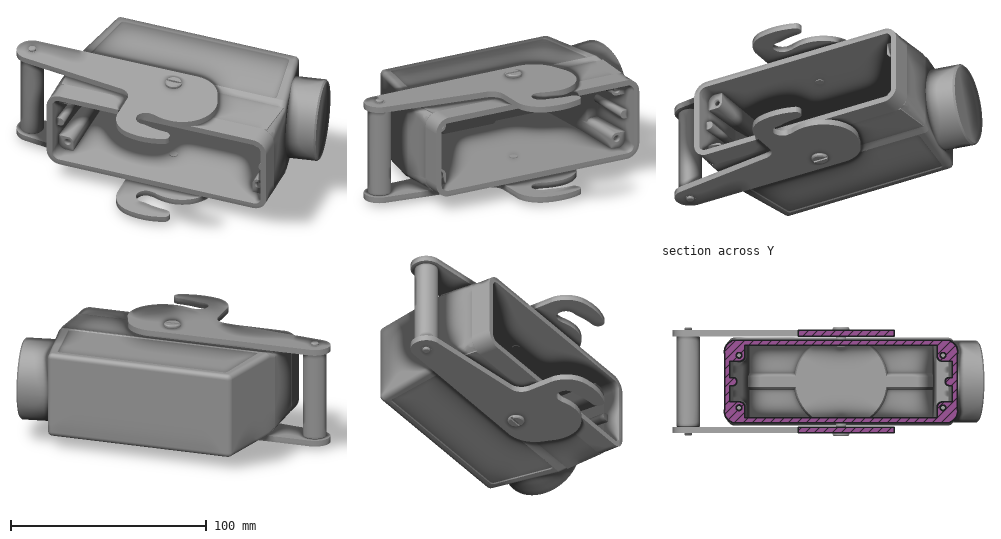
import cadquery as cq
import math


collar_length = 120.0
collar_width = 43.0
collar_depth = 11.0
collar_radius = 7.4

waist_half_length_low = 59.6
waist_half_length_high = 58.3
waist_half_width = 20.8
waist_top = 32.1
waist_corner_x_low = 3.7
waist_corner_z_low = 6.7
waist_corner_x_high = 0.9
waist_corner_z_high = 2.6
slab_half_width = 21.3
slab_half_length_low = 56.0
slab_half_length_high = 57.3

back_half_width = 22.4
back_half_length = 49.5
back_y = 75.7
shoulder_y = 36.5
back_fillet = 2.5

cavity_half_width = 18.5
cavity_floor_half_width = 18.1
cavity_half_length = 56.9
cavity_waist_half_length = 55.0
cavity_waist_y = 33.0
cavity_floor_half_length = 46.8
cavity_floor_y = 73.0
entry_ledge_y = 34.0
entry_ledge_inner_x = 48.9
cavity_radius = 3.7
pad_height = 3.0
pad_disc_radius = 24.3
pad_disc_slope = 1.0
pad_bar_half_width = 4.4
pad_bar_slope = 1.7

boss_face_y = 9.3
boss_inner_x = 48.2
boss_inner_z = 9.5
boss_radius = 3.0
boss_draft = 0.7
screw_x = 52.1
screw_z = 13.4
screw_hole_radius = 1.3
screw_mouth_radius = 1.9
screw_hole_depth = 12.0
guide_radius = 2.2
guide_x = 55.3
guide_start_y = 7.0

panel_depth = 0.5
panel_draft = 40.0
panel_low_y = shoulder_y
panel_high_y = 71.3
panel_low_half_length = 51.7
panel_high_half_length = 45.8
panel_radius = 2.5

entry_radius = 21.0
entry_tilt = 10.0
entry_end_x = 69.81
entry_end_y = 56.02
entry_length = 18.0
entry_chamfer = 0.9

lever_inner_z = 23.15
lever_thickness = 3.1
roller_x = -78.1
roller_y = 26.8
lever_end_radius = 8.0
roller_radius = 6.05
roller_chamfer = 0.4
rivet_side = 4.1
rivet_foot_height = 0.1
rivet_radius = 2.0
rivet_height = 1.3
rivet_chamfer = 0.4

cam_top = (9.4, 35.2)
cam_shoulder = (18.5, 32.0)
cam_flat_start = (24.3, 23.8)
cam_flat_end = (26.6, 18.0)
cam_nose = (23.6, 1.5)
cam_bottom = (9.4, -5.4)
slot_mouth_middle = (4.5, -4.9)
slot_mouth_inner = (0.0, -3.5)
slot_end_top = (-2.8, -3.1)
slot_end_middle = (-7.7, -7.4)
slot_end_bottom = (-4.0, -12.9)
hook_inner_start = (-1.2, -13.2)
hook_inner_middle = (4.5, -14.6)
hook_inner_end = (11.0, -15.2)
hook_tip = (14.1, -18.0)
hook_outer_start = (12.9, -21.1)
hook_bottom = (0.0, -23.48)
hook_outer_middle = (-8.4, -22.1)
hook_heel = (-15.2, -16.9)
hook_heel_top_y = -9.8
shank_x = -17.7
shank_top_y = 4.5
arm_root_middle = (-19.3, 9.0)
arm_root = (-23.5, 11.5)
arm_end_bottom_y = 18.8

pivot_y = 24.8
pivot_shaft_radius = 2.65
pivot_tip_radius = 2.15
pivot_tip_z = 18.0
pivot_head_radius = 4.25
pivot_head_top = 27.9
pivot_head_chamfer = 0.5
pivot_slot_width = 1.5
pivot_slot_depth = 0.8


def section_plane(y):
    """Plane across the hood at depth y: local x is X, local y is -Z, and it extrudes towards +Y."""
    return cq.Workplane(cq.Plane((0, y, 0), (1, 0, 0), (0, 1, 0)))


def rounded_section(workplane, half_x, half_z, corner_x, corner_z):
    """Closed rectangle outline whose corners are arcs reaching corner_x and corner_z along the sides."""
    bulge = 1 - math.sqrt(0.5)
    outline = workplane.moveTo(corner_x - half_x, half_z)
    for side_x, side_z in ((1, 1), (1, -1), (-1, -1), (-1, 1)):
        on_long_side = (side_x * (half_x - corner_x), side_z * half_z)
        on_short_side = (side_x * half_x, side_z * (half_z - corner_z))
        middle = (side_x * (half_x - bulge * corner_x), side_z * (half_z - bulge * corner_z))
        start, end = on_long_side, on_short_side
        if side_x * side_z < 0:
            start, end = on_short_side, on_long_side
        outline = outline.lineTo(*start).threePointArc(middle, end)
    return outline.close()


def symmetric_outline(points):
    """Closed outline in XY from the points of its +X half, mirrored about the Y axis."""
    mirrored = [(-x, y) for x, y in reversed(points)]
    return cq.Workplane("XY").polyline(points + mirrored).close()


def collar():
    block = section_plane(0).rect(collar_length, collar_width).extrude(collar_depth)
    return block.edges("|Y").fillet(collar_radius)


def waist():
    low = rounded_section(
        section_plane(collar_depth),
        waist_half_length_low,
        waist_half_width,
        waist_corner_x_low,
        waist_corner_z_low,
    )
    high = rounded_section(
        low.workplane(offset=waist_top - collar_depth),
        waist_half_length_high,
        waist_half_width,
        waist_corner_x_high,
        waist_corner_z_high,
    )
    return high.loft(ruled=True)


def back():
    plan = symmetric_outline([(waist_half_length_high, waist_top), (back_half_length, back_y)])
    plan = plan.extrude(back_half_width, both=True)
    profile = [
        (waist_top, slab_half_width),
        (shoulder_y, back_half_width),
        (back_y, back_half_width),
        (back_y, -back_half_width),
        (shoulder_y, -back_half_width),
        (waist_top, -slab_half_width),
    ]
    envelope = cq.Workplane("YZ").polyline(profile).close().extrude(collar_length / 2, both=True)
    block = plan.intersect(envelope)
    return block.faces("<X or >X or >Y").edges("not <Y").fillet(back_fillet)


def waist_slab():
    """Flat faces under the levers, standing slightly proud of the rounded waist."""
    plan = symmetric_outline([(slab_half_length_low, collar_depth), (slab_half_length_high, waist_top)])
    return plan.extrude(slab_half_width, both=True)


def cable_entry():
    tilt = math.radians(entry_tilt)
    axis = (math.cos(tilt), math.sin(tilt), 0)
    start = (entry_end_x - entry_length * axis[0], entry_end_y - entry_length * axis[1], 0)
    plane = cq.Plane(start, (axis[1], -axis[0], 0), axis)
    return cq.Workplane(plane).circle(entry_radius).extrude(entry_length).faces(">X").chamfer(entry_chamfer)


def cavity():
    points = [
        (cavity_half_length, 0),
        (cavity_half_length, boss_face_y),
        (cavity_waist_half_length, cavity_waist_y),
        (cavity_floor_half_length, cavity_floor_y),
    ]
    hollow = symmetric_outline(points).extrude(cavity_half_width, both=True)
    side_profile = [
        (0, cavity_half_width),
        (cavity_floor_y, cavity_floor_half_width),
        (cavity_floor_y, -cavity_floor_half_width),
        (0, -cavity_half_width),
    ]
    envelope = cq.Workplane("YZ").polyline(side_profile).close().extrude(collar_length, both=True)
    hollow = hollow.intersect(envelope)
    for side_x in (-1, 1):
        for side_z in (-1, 1):
            corner = (side_x * cavity_half_length, boss_face_y / 2, side_z * cavity_half_width)
            hollow = hollow.edges(cq.selectors.NearestToPointSelector(corner)).fillet(cavity_radius)
    return hollow.cut(entry_backing())


def entry_backing():
    """Thickening of the end wall behind the cable entry, with a flat ledge facing the opening."""
    points = [
        (entry_ledge_inner_x, entry_ledge_y),
        (collar_length / 2, entry_ledge_y),
        (collar_length / 2, cavity_floor_y),
        (cavity_floor_half_length, cavity_floor_y),
    ]
    return cq.Workplane("XY").polyline(points).close().extrude(cavity_half_width, both=True)


def floor_pad():
    """Disc and crossing bar with sloping sides, raised from the cavity floor towards the opening."""
    base = cq.Workplane("XZ", origin=(0, cavity_floor_y, 0))
    disc_draft = math.degrees(math.atan2(pad_disc_slope, pad_height))
    bar_draft = math.degrees(math.atan2(pad_bar_slope, pad_height))
    disc = base.circle(pad_disc_radius).extrude(pad_height, taper=disc_draft)
    bar = base.rect(collar_length, 2 * pad_bar_half_width).extrude(pad_height, taper=bar_draft)
    return disc.union(bar)


def screw_boss(side_x, side_z):
    """Slightly drafted post filling a corner of the cavity from its floor up to the boss face."""
    size_x = collar_length / 2 - boss_inner_x
    size_z = collar_width / 2 - boss_inner_z
    post = (
        cq.Workplane("XZ", origin=(0, cavity_floor_y, 0))
        .center(side_x * (boss_inner_x + size_x / 2), side_z * (boss_inner_z + size_z / 2))
        .rect(size_x, size_z)
        .extrude(cavity_floor_y - boss_face_y, taper=boss_draft)
    )
    inner_corner = (side_x * boss_inner_x, (boss_face_y + cavity_floor_y) / 2, side_z * boss_inner_z)
    return post.edges(cq.selectors.NearestToPointSelector(inner_corner)).fillet(boss_radius)


def screw_hole(side_x, side_z):
    hole = section_plane(boss_face_y).center(side_x * screw_x, -side_z * screw_z)
    bore = hole.circle(screw_hole_radius).extrude(screw_hole_depth)
    mouth = cq.Solid.makeCone(
        screw_mouth_radius,
        screw_hole_radius,
        screw_mouth_radius - screw_hole_radius,
        cq.Vector(side_x * screw_x, boss_face_y, side_z * screw_z),
        cq.Vector(0, 1, 0),
    )
    return bore.union(cq.Workplane(mouth))


def guide_rib(side_x):
    length = cavity_floor_y - guide_start_y
    rib = section_plane(guide_start_y).center(side_x * guide_x, 0)
    web_length = collar_length / 2 - guide_x
    web = rib.center(side_x * web_length / 2, 0).rect(web_length, 2 * guide_radius).extrude(length)
    return rib.circle(guide_radius).extrude(length).union(web)


def panel_recess():
    """Trapezoidal recess with sloping edges, cut into the +Z face."""
    points = [(panel_low_half_length, panel_low_y), (panel_high_half_length, panel_high_y)]
    recess = symmetric_outline(points).extrude(-panel_depth, taper=panel_draft)
    return recess.edges("not #Z").edges("not |X").fillet(panel_radius).translate((0, 0, back_half_width))


def hood():
    outside = collar().union(waist()).union(waist_slab()).union(back())
    inside = cavity().cut(floor_pad())
    holes = []
    for side_x in (-1, 1):
        inside = inside.cut(guide_rib(side_x))
        for side_z in (-1, 1):
            inside = inside.cut(screw_boss(side_x, side_z))
            holes.append(screw_hole(side_x, side_z))
    shell = outside.union(cable_entry()).cut(inside)
    for hole in holes:
        shell = shell.cut(hole)
    recess = panel_recess()
    return shell.cut(recess).cut(recess.mirror("XY"))


def lever():
    """Lever plate with its tapered arm, round cam and open hook, lying on Z = 0."""
    arm_end_top = (roller_x, roller_y + lever_end_radius)
    arm_end_tip = (roller_x - lever_end_radius, roller_y)
    arm_tilt = math.atan2(arm_end_bottom_y - arm_root[1], arm_root[0] - roller_x)
    arm_end_bottom = (
        roller_x - lever_end_radius * math.sin(arm_tilt),
        roller_y - lever_end_radius * math.cos(arm_tilt),
    )
    outline = (
        cq.Workplane("XY")
        .moveTo(*arm_end_top)
        .lineTo(*cam_top)
        .threePointArc(cam_shoulder, cam_flat_start)
        .lineTo(*cam_flat_end)
        .threePointArc(cam_nose, cam_bottom)
        .threePointArc(slot_mouth_middle, slot_mouth_inner)
        .lineTo(*slot_end_top)
        .threePointArc(slot_end_middle, slot_end_bottom)
        .lineTo(*hook_inner_start)
        .threePointArc(hook_inner_middle, hook_inner_end)
        .threePointArc(hook_tip, hook_outer_start)
        .threePointArc(hook_bottom, hook_outer_middle)
        .threePointArc(hook_heel, (shank_x, hook_heel_top_y))
        .lineTo(shank_x, shank_top_y)
        .threePointArc(arm_root_middle, arm_root)
        .lineTo(*arm_end_bottom)
        .threePointArc(arm_end_tip, arm_end_top)
        .close()
    )
    return outline.extrude(lever_thickness)


def rivet():
    """Round rivet head with a bevelled rim on a thin square foot."""
    foot = cq.Workplane("XY").rect(rivet_side, rivet_side).extrude(rivet_foot_height)
    head = cq.Workplane("XY").circle(rivet_radius).extrude(rivet_height)
    return foot.union(head.faces(">Z").chamfer(rivet_chamfer))


def pivot_screw():
    lever_outer_z = lever_inner_z + lever_thickness
    tip = cq.Workplane("XY").workplane(offset=pivot_tip_z).circle(pivot_tip_radius)
    tip = tip.extrude(lever_inner_z - pivot_tip_z)
    shaft_start = (cavity_half_width + waist_half_width) / 2
    shaft = cq.Workplane("XY").workplane(offset=shaft_start).circle(pivot_shaft_radius)
    shaft = shaft.extrude(lever_outer_z - shaft_start)
    head = cq.Workplane("XY").workplane(offset=lever_outer_z).circle(pivot_head_radius)
    head = head.extrude(pivot_head_top - lever_outer_z).faces(">Z").chamfer(pivot_head_chamfer)
    slot = cq.Workplane("XY").workplane(offset=pivot_head_top - pivot_slot_depth)
    slot = slot.rect(3 * pivot_head_radius, pivot_slot_width).extrude(2 * pivot_slot_depth)
    return tip.union(shaft).union(head.cut(slot)).translate((0, pivot_y, 0))


def lever_side():
    """Everything mounted on the +Z side: lever, rivet head and pivot screw."""
    plate = lever().translate((0, 0, lever_inner_z))
    rivet_head = rivet().translate((roller_x, roller_y, lever_inner_z + lever_thickness))
    return plate.union(rivet_head).union(pivot_screw())


def roller():
    plane = cq.Plane((roller_x, roller_y, -lever_inner_z), (-1, 0, 0), (0, 0, 1))
    bar = cq.Workplane(plane).circle(roller_radius).extrude(2 * lever_inner_z)
    return bar.faces("<Z or >Z").chamfer(roller_chamfer)


upper_side = lever_side()
lower_side = upper_side.mirror("XY")
result = hood().union(upper_side).union(lower_side).union(roller())